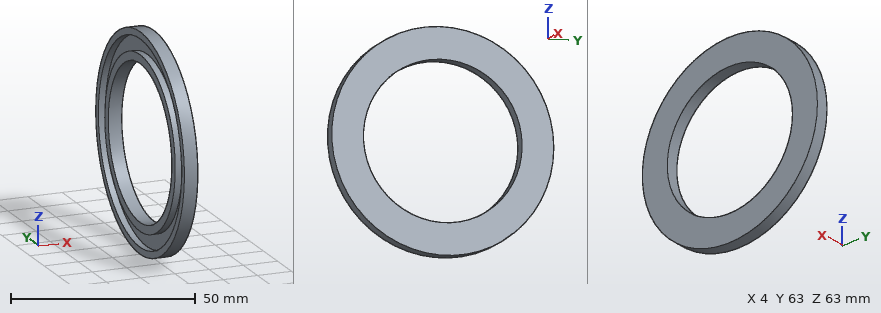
import cadquery as cq

outer_diameter = 63.0
bore_diameter = 45.0
groove_outer_diameter = 59.0
groove_inner_diameter = 50.0
thickness = 4.0
groove_depth = thickness / 2


def annulus(outer, inner, length):
    """Ring around X with its -X face at the origin plane."""
    return cq.Workplane("YZ").circle(outer / 2).circle(inner / 2).extrude(length)


ring = annulus(outer_diameter, bore_diameter, thickness)
groove = annulus(groove_outer_diameter, groove_inner_diameter, groove_depth)

result = ring.cut(groove).translate((-thickness / 2, 0, 0))